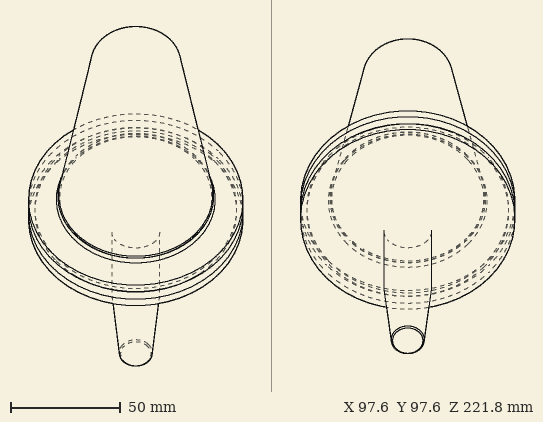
import cadquery as cq
import math

total_height = 221.8

flange_radius = 48.8
flange_bottom = 101.1
flange_top = 116.6
groove_floor_radius = 46.0
groove_width = 5.8
groove_floor_width = 2.7
groove_center = (flange_bottom + flange_top) / 2

gauge_radius = 35.0
gauge_height = 120.2
radius_per_height = 7 / 48
top_radius = gauge_radius - (total_height - gauge_height) * radius_per_height
top_rounding = 2.2

lip_radius = 35.5
lip_height = 119.3
undercut_radius = 34.5
undercut_height = 118.2
flare_radius = 36.1

neck_radius = 10.9
neck_fillet = 10.0
nose_top = 44.5
tip_radius = 7.5
tip_chamfer = 0.7

fillet_center_radius = neck_radius + neck_fillet
fillet_center_height = flange_bottom - neck_fillet
fillet_offset = neck_fillet * math.sqrt(0.5)
fillet_mid = (fillet_center_radius - fillet_offset, fillet_center_height + fillet_offset)


def half_profile():
    """Closed (radius, height) outline, traced from the tip upwards."""
    return (
        cq.Workplane("XZ")
        .lineTo(tip_radius - tip_chamfer, 0)
        .lineTo(tip_radius, tip_chamfer)
        .lineTo(neck_radius, nose_top)
        .lineTo(neck_radius, fillet_center_height)
        .threePointArc(fillet_mid, (fillet_center_radius, flange_bottom))
        .lineTo(flange_radius, flange_bottom)
        .lineTo(flange_radius, groove_center - groove_width / 2)
        .lineTo(groove_floor_radius, groove_center - groove_floor_width / 2)
        .lineTo(groove_floor_radius, groove_center + groove_floor_width / 2)
        .lineTo(flange_radius, groove_center + groove_width / 2)
        .lineTo(flange_radius, flange_top)
        .lineTo(flare_radius, flange_top)
        .lineTo(undercut_radius, undercut_height)
        .lineTo(lip_radius, lip_height)
        .lineTo(gauge_radius, gauge_height)
        .lineTo(top_radius, total_height)
        .lineTo(0, total_height)
        .close()
    )


body = half_profile().revolve(360, (0, 0, 0), (0, 1, 0))
result = body.faces(">Z").edges().fillet(top_rounding)